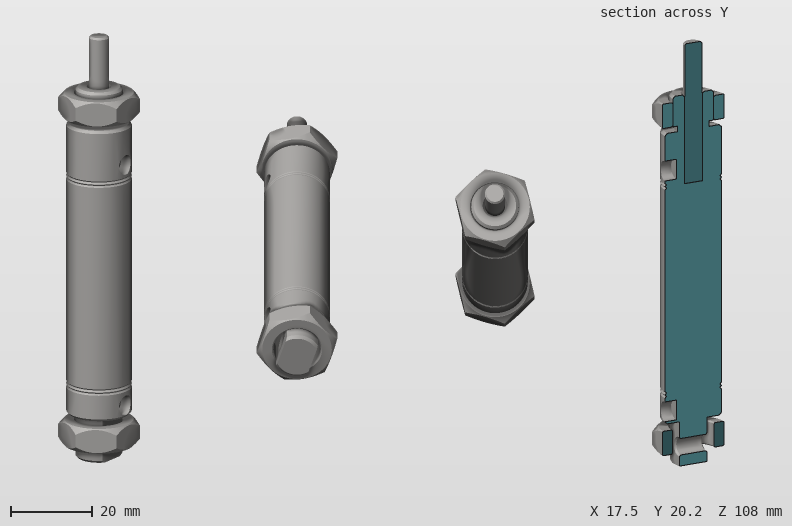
import cadquery as cq
import math


TOTAL_HEIGHT = 108.0
NOSE_TOP = 95.0
FRONT_NUT_BASE = 87.1
BARREL_TOP = 85.8
BARREL_BASE = 11.3
REAR_NUT_BASE = 3.3

BARREL_DIAMETER = 16.1
BARREL_RADIUS = BARREL_DIAMETER / 2
BARREL_CHAMFER = 0.6
THREAD_RADIUS = 5.8
THREAD_CHAMFER = 0.6
NECK_RADIUS = 4.5
TAIL_FLAT_WIDTH = 8.0

GROOVE_DEPTH = 0.38
GROOVE_HALF_SPACING = 0.4
CRIMP_HEIGHTS = (18.9, 72.2)

PORT_RADIUS = 2.5
PORT_DEPTH = 3.2
PORT_HEIGHTS = (14.6, 76.2)

CROSS_HOLE_RADIUS = 2.0
CROSS_HOLE_COUNTERSINK = 0.4
CROSS_HOLE_HEIGHT = 5.0

ROD_RADIUS = 2.5
ROD_CHAMFER = 0.4
ROD_BASE = CRIMP_HEIGHTS[1]
ROD_HOLE_COUNTERSINK = 0.5

NUT_ACROSS_FLATS = 17.5
NUT_HEIGHT = 6.4
NUT_FACE_RADIUS = 8.5
NUT_BORE_CHAMFER = 0.3


def revolve_profile(points):
    """Revolve a closed (radius, height) outline around the Z axis."""
    return cq.Workplane("XZ").polyline(points).close().revolve(360, (0, 0, 0), (0, 1, 0))


def cylinder(radius, base, top):
    return cq.Workplane("XY").workplane(offset=base).circle(radius).extrude(top - base)


def make_v_groove(height):
    """Ring with a 45 degree V section that cuts a groove into the barrel."""
    return revolve_profile([
        (BARREL_RADIUS, height - GROOVE_DEPTH),
        (BARREL_RADIUS - GROOVE_DEPTH, height),
        (BARREL_RADIUS, height + GROOVE_DEPTH),
    ])


def make_barrel():
    barrel = cylinder(BARREL_RADIUS, BARREL_BASE, BARREL_TOP).faces("<Z or >Z").chamfer(BARREL_CHAMFER)
    for crimp_height in CRIMP_HEIGHTS:
        for side in (-1, 1):
            barrel = barrel.cut(make_v_groove(crimp_height + side * GROOVE_HALF_SPACING))
    port_floor = BARREL_RADIUS - PORT_DEPTH
    for port_height in PORT_HEIGHTS:
        port = (
            cq.Workplane("YZ", origin=(port_floor, 0, port_height))
            .circle(PORT_RADIUS)
            .extrude(PORT_DEPTH)
        )
        barrel = barrel.cut(port)
    return barrel


def make_nose():
    """Threaded front end, joined to the barrel by a narrower neck."""
    neck = cylinder(NECK_RADIUS, BARREL_TOP, FRONT_NUT_BASE)
    thread = cylinder(THREAD_RADIUS, FRONT_NUT_BASE, NOSE_TOP).faces(">Z").chamfer(THREAD_CHAMFER)
    return neck.union(thread)


def make_tail():
    """Threaded rear end with two flats and a cross hole along X."""
    tail = cylinder(THREAD_RADIUS, 0, BARREL_BASE).faces("<Z").chamfer(THREAD_CHAMFER)
    flats = cq.Workplane("XY").rect(TAIL_FLAT_WIDTH, 2 * THREAD_RADIUS).extrude(BARREL_BASE)
    tail = tail.intersect(flats)

    flat_position = TAIL_FLAT_WIDTH / 2
    countersink_floor = flat_position - CROSS_HOLE_COUNTERSINK
    countersink_radius = CROSS_HOLE_RADIUS + CROSS_HOLE_COUNTERSINK
    cross_hole = (
        cq.Workplane("XY")
        .polyline([
            (-flat_position, 0),
            (-flat_position, countersink_radius),
            (-countersink_floor, CROSS_HOLE_RADIUS),
            (countersink_floor, CROSS_HOLE_RADIUS),
            (flat_position, countersink_radius),
            (flat_position, 0),
        ])
        .close()
        .revolve(360, (0, 0, 0), (1, 0, 0))
        .translate((0, 0, CROSS_HOLE_HEIGHT))
    )
    return tail.cut(cross_hole)


def make_rod_hole():
    return revolve_profile([
        (0, ROD_BASE),
        (ROD_RADIUS, ROD_BASE),
        (ROD_RADIUS, NOSE_TOP - ROD_HOLE_COUNTERSINK),
        (ROD_RADIUS + ROD_HOLE_COUNTERSINK, NOSE_TOP),
        (0, NOSE_TOP),
    ])


def make_housing():
    return make_barrel().union(make_nose()).union(make_tail()).cut(make_rod_hole())


def make_rod():
    return cylinder(ROD_RADIUS, ROD_BASE, TOTAL_HEIGHT).faces(">Z").chamfer(ROD_CHAMFER)


def make_nut(base):
    """Hexagon nut with 45 degree corner chamfers and a chamfered bore."""
    corner_radius = NUT_ACROSS_FLATS / 2 / math.cos(math.pi / 6)
    hexagon = (
        cq.Workplane("XY")
        .polygon(6, 2 * corner_radius)
        .extrude(NUT_HEIGHT)
        .rotate((0, 0, 0), (0, 0, 1), 90)
    )
    chamfer_limit = (
        cq.Workplane("XY")
        .circle(corner_radius)
        .extrude(NUT_HEIGHT)
        .faces("<Z or >Z")
        .chamfer(corner_radius - NUT_FACE_RADIUS)
    )
    bore_mouth_radius = THREAD_RADIUS + NUT_BORE_CHAMFER
    bore = revolve_profile([
        (0, 0),
        (bore_mouth_radius, 0),
        (THREAD_RADIUS, NUT_BORE_CHAMFER),
        (THREAD_RADIUS, NUT_HEIGHT - NUT_BORE_CHAMFER),
        (bore_mouth_radius, NUT_HEIGHT),
        (0, NUT_HEIGHT),
    ])
    return hexagon.intersect(chamfer_limit).cut(bore).translate((0, 0, base))


housing = make_housing()
rod = make_rod()
nuts = [make_nut(base) for base in (REAR_NUT_BASE, FRONT_NUT_BASE)]

result = cq.Compound.makeCompound([housing.val(), rod.val(), *[nut.val() for nut in nuts]])